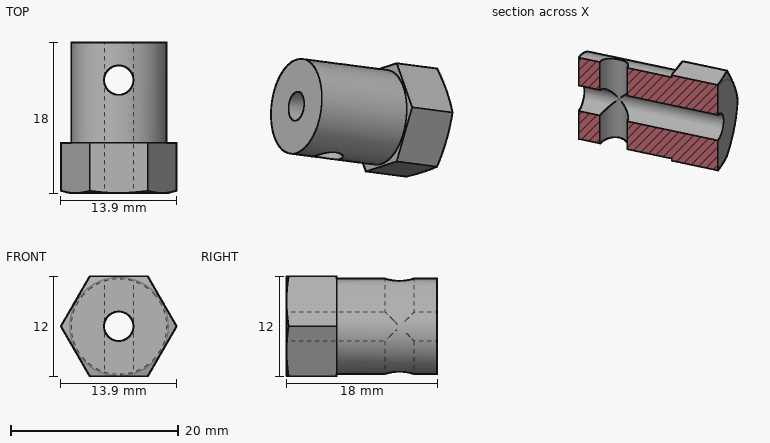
import cadquery as cq
import math

total_length = 18.0
hex_length = total_length / 3
hex_across_flats = total_length * 2 / 3
barrel_diameter = 11.43
hole_diameter = 3.5
cross_hole_from_end = 4.5
chamfer_face_diameter = 11.79
chamfer_angle = 15.0

hex_across_corners = hex_across_flats / math.cos(math.radians(30))


def cylinder_along_y(diameter, length):
    return cq.Workplane("XZ").circle(diameter / 2).extrude(-length)


def chamfered_hex():
    """Hexagonal head whose front corners are trimmed by a shallow cone."""
    head = cq.Workplane("XZ").polygon(6, hex_across_corners).extrude(-hex_length)
    face_radius = chamfer_face_diameter / 2
    outer_radius = hex_across_corners
    cone_rise = (outer_radius - face_radius) * math.tan(math.radians(chamfer_angle))
    envelope = (
        cq.Workplane("XY")
        .moveTo(0, 0)
        .lineTo(face_radius, 0)
        .lineTo(outer_radius, cone_rise)
        .lineTo(outer_radius, hex_length)
        .lineTo(0, hex_length)
        .close()
        .revolve(360, (0, 0, 0), (0, 1, 0))
    )
    return head.intersect(envelope)


def cross_hole():
    """Vertical hole through both walls of the barrel."""
    return (
        cq.Workplane("XY")
        .center(0, total_length - cross_hole_from_end)
        .circle(hole_diameter / 2)
        .extrude(barrel_diameter, both=True)
    )


body = chamfered_hex().union(cylinder_along_y(barrel_diameter, total_length))
axial_bore = cylinder_along_y(hole_diameter, total_length)
result = body.cut(axial_bore).cut(cross_hole())